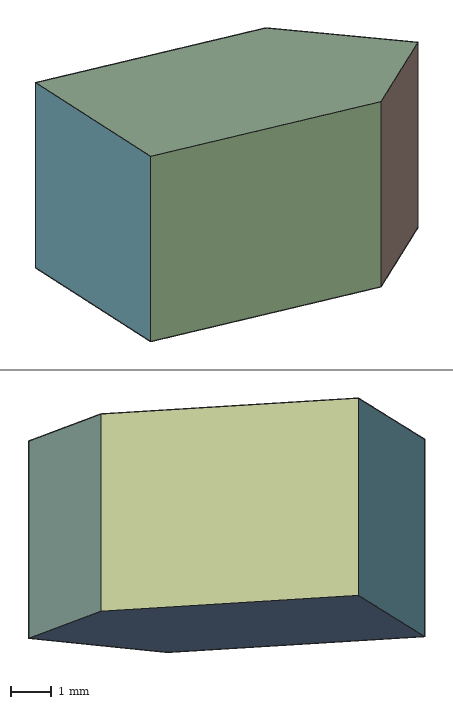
import cadquery as cq

width = 5.5
length = 9.45
height = 5.0

half_width = width / 2
tip_length = half_width
shoulder_y = length - tip_length

outline = [
    (-half_width, 0),
    (half_width, 0),
    (half_width, shoulder_y),
    (0, length),
    (-half_width, shoulder_y),
]

result = cq.Workplane("XY").polyline(outline).close().extrude(height)